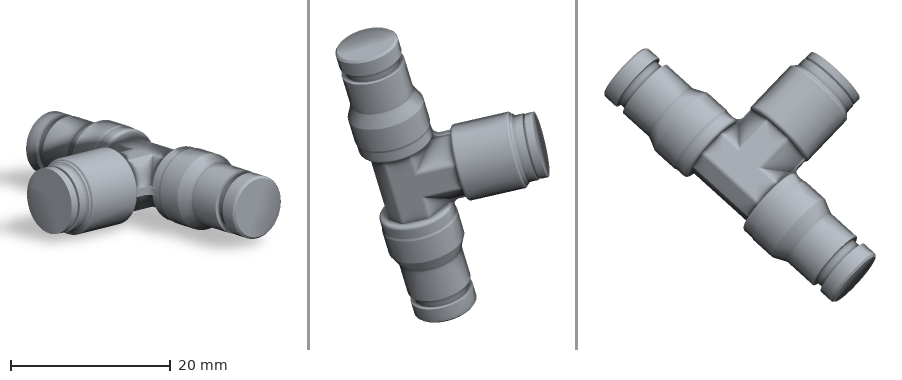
import cadquery as cq
import math


run_half_length = 19.65
end_chamfer = 0.28
groove_outer = 17.5
groove_inner = 16.25
taper_start = 11.8
taper_end = 10.03
step_outer = 6.75
step_inner = 6.45
run_inner_end = 4.85
tube_radius = 4.1
flange_radius = 4.05
groove_radius = 3.5
port_radius = 4.9
collar_radius = 4.8
edge_round = 0.4

stem_start = 6.95
stem_body_end = 14.28
stem_round = 0.3
neck_fillet = 0.25
neck_start = 15.1
neck_end = 16.2
cap_start = 16.5
stem_end = 17.5
neck_radius = 4.3
undercut_radius = 3.97
cap_radius = 4.2

core_half_height = 3.45
core_back = 3.5
crest_half_width = 1.77
crest_round = 0.63
flank_foot = 4.45
rib_half_width = 4.68
rib_half_thickness = 0.5
gusset_radius = 0.9
overlap = 0.4

diagonal = math.sqrt(0.5)


def run_port():
    """Solid of revolution for the port on the +X side."""
    round_start = run_inner_end + edge_round
    edge_reach = edge_round * diagonal
    profile = (
        cq.Workplane("XY")
        .moveTo(run_inner_end, 0)
        .lineTo(run_inner_end, collar_radius - edge_round)
        .threePointArc(
            (round_start - edge_reach, collar_radius - edge_round + edge_reach),
            (round_start, collar_radius),
        )
        .lineTo(step_inner, collar_radius)
        .lineTo(step_outer, port_radius)
        .lineTo(taper_end, port_radius)
        .lineTo(taper_start, tube_radius)
        .lineTo(groove_inner, tube_radius)
        .lineTo(groove_inner, groove_radius)
        .lineTo(groove_outer, groove_radius)
        .lineTo(groove_outer, flange_radius)
        .lineTo(run_half_length - end_chamfer, flange_radius)
        .lineTo(run_half_length, flange_radius - end_chamfer)
        .lineTo(run_half_length, 0)
        .close()
    )
    return profile.revolve(360, (0, 0, 0), (1, 0, 0))


def stem_port():
    """Solid of revolution for the port on the -Y side."""
    start_reach = edge_round * diagonal
    end_reach = stem_round * diagonal
    fillet_reach = neck_fillet * diagonal
    start_center = (port_radius - edge_round, -stem_start - edge_round)
    end_center = (port_radius - stem_round, -stem_body_end)
    fillet_center = (neck_radius + neck_fillet, -neck_start)
    profile = (
        cq.Workplane("XY")
        .moveTo(0, -stem_start)
        .lineTo(start_center[0], -stem_start)
        .threePointArc(
            (start_center[0] + start_reach, start_center[1] + start_reach),
            (port_radius, start_center[1]),
        )
        .lineTo(port_radius, -stem_body_end)
        .threePointArc(
            (end_center[0] + end_reach, end_center[1] - end_reach),
            (end_center[0], end_center[1] - stem_round),
        )
        .lineTo(fillet_center[0], fillet_center[1] + neck_fillet)
        .threePointArc(
            (fillet_center[0] - fillet_reach, fillet_center[1] + fillet_reach),
            (neck_radius, -neck_start),
        )
        .lineTo(neck_radius, -neck_end)
        .lineTo(undercut_radius, -neck_end)
        .lineTo(cap_radius, -cap_start)
        .lineTo(cap_radius, -stem_end)
        .lineTo(0, -stem_end)
        .close()
    )
    return profile.revolve(360, (0, 0, 0), (0, 1, 0))


def core_bar(plane, axis, length):
    """Bar along the given axis with flat crests, sloping flanks and a thin rib along each side."""
    quarter = [
        (crest_half_width, core_half_height),
        (flank_foot, rib_half_thickness),
        (rib_half_width, rib_half_thickness),
    ]
    right_side = quarter + [(x, -z) for x, z in reversed(quarter)]
    left_side = [(-x, -z) for x, z in right_side]
    bar = cq.Workplane(plane).polyline(right_side + left_side).close().extrude(length)
    crest_edges = bar.edges(">Z or <Z").edges(f"|{axis}")
    return crest_edges.fillet(crest_round)


def run_core():
    """Core bar joining the run ports, cut flat along its +Y back."""
    half_length = run_inner_end + overlap
    bar = core_bar("YZ", "X", half_length)
    bar = bar.union(bar.mirror("YZ"))
    cutter = cq.Workplane("XY").box(
        2 * half_length, port_radius, 2 * port_radius, centered=(True, False, True)
    )
    return bar.cut(cutter.translate((0, core_back, 0)))


def gusset():
    """Thin concave web between the +X collar and the rib of the stem."""
    center_x = rib_half_width + gusset_radius
    center_y = -collar_radius - gusset_radius
    arc_reach = gusset_radius * diagonal
    return (
        cq.Workplane("XY")
        .moveTo(rib_half_width - overlap, -collar_radius + overlap)
        .lineTo(center_x, -collar_radius + overlap)
        .lineTo(center_x, -collar_radius)
        .threePointArc(
            (center_x - arc_reach, center_y + arc_reach),
            (rib_half_width, center_y),
        )
        .lineTo(rib_half_width - overlap, center_y)
        .close()
        .extrude(rib_half_thickness, both=True)
    )


right_half = run_port().union(gusset())
stem_core = core_bar("XZ", "Y", stem_start + overlap)
result = run_core().union(stem_core).union(stem_port())
result = result.union(right_half).union(right_half.mirror("YZ"))